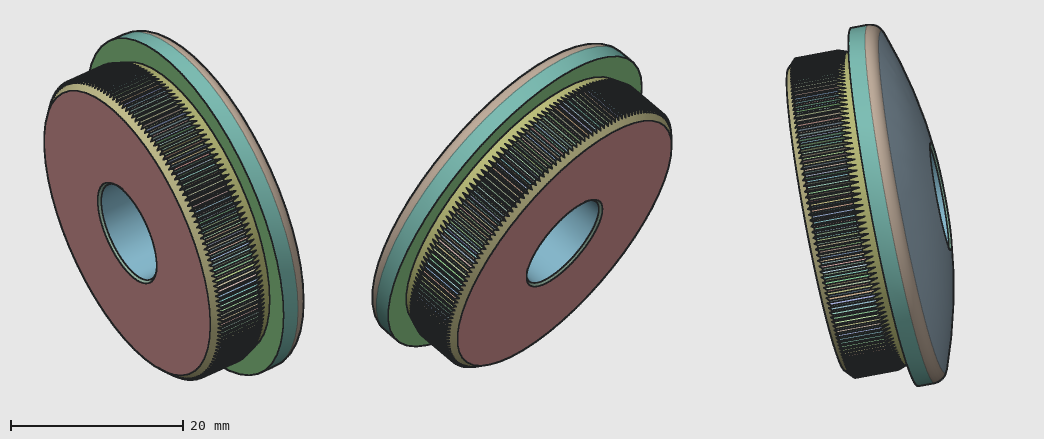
import cadquery as cq
import math


cap_radius = 42.4 / 2
cap_seat_y = 8.0
dome_apex_y = 15.01
dome_sphere_radius = 58.0
rim_fillet_radius = 1.5

knurl_radius = 18.9
knurl_end_y = 6.0
plug_chamfer = 1.0
neck_radius = 18.2

groove_count = 170
groove_depth = 0.35
groove_width = 0.4

bore_radius = 6.05
bore_chamfer = 0.3


def dome_height(radius):
    """Y of the dome sphere at a distance from the axis."""
    drop = dome_sphere_radius - math.sqrt(dome_sphere_radius**2 - radius**2)
    return dome_apex_y - drop


def rim_fillet():
    """Start, middle and end of the fillet that is tangent to the rim and to the dome sphere."""
    center_radius = cap_radius - rim_fillet_radius
    sphere_distance = dome_sphere_radius - rim_fillet_radius
    sphere_center_y = dome_apex_y - dome_sphere_radius
    center_y = sphere_center_y + math.sqrt(sphere_distance**2 - center_radius**2)
    end_angle = math.acos(center_radius / sphere_distance)

    def point_at(angle):
        return (
            center_radius + rim_fillet_radius * math.cos(angle),
            center_y + rim_fillet_radius * math.sin(angle),
        )

    return point_at(0), point_at(end_angle / 2), point_at(end_angle)


def make_body():
    """Plug and domed cap, revolved about Y with the bore and its chamfers."""
    bore_mouth_radius = bore_radius + bore_chamfer
    bore_exit_y = dome_height(bore_mouth_radius)
    fillet_start, fillet_middle, fillet_end = rim_fillet()
    dome_middle_radius = (fillet_end[0] + bore_mouth_radius) / 2
    profile = (
        cq.Workplane("XY")
        .moveTo(bore_mouth_radius, 0)
        .lineTo(knurl_radius - plug_chamfer, 0)
        .lineTo(knurl_radius, plug_chamfer)
        .lineTo(knurl_radius, knurl_end_y)
        .lineTo(neck_radius, cap_seat_y)
        .lineTo(cap_radius, cap_seat_y)
        .lineTo(*fillet_start)
        .threePointArc(fillet_middle, fillet_end)
        .threePointArc(
            (dome_middle_radius, dome_height(dome_middle_radius)),
            (bore_mouth_radius, bore_exit_y),
        )
        .lineTo(bore_radius, bore_exit_y - bore_chamfer)
        .lineTo(bore_radius, bore_chamfer)
        .close()
    )
    return profile.revolve(360, (0, 0, 0), (0, 1, 0))


def make_grooves():
    """Straight V grooves parallel to Y; their bottoms run out on the chamfer and on the taper."""
    overshoot = 0.5
    outer_radius = knurl_radius + overshoot * groove_depth
    outer_half_width = groove_width / 2 * (1 + overshoot)
    first_groove = (
        cq.Workplane("XZ")
        .polyline(
            [
                (0, knurl_radius - groove_depth),
                (outer_half_width, outer_radius),
                (-outer_half_width, outer_radius),
            ]
        )
        .close()
        .extrude(-cap_seat_y)
        .val()
    )
    pitch_angle = 360 / groove_count
    grooves = [
        first_groove.rotate((0, 0, 0), (0, 1, 0), index * pitch_angle)
        for index in range(groove_count)
    ]
    return cq.Workplane(cq.Compound.makeCompound(grooves))


result = make_body().cut(make_grooves())